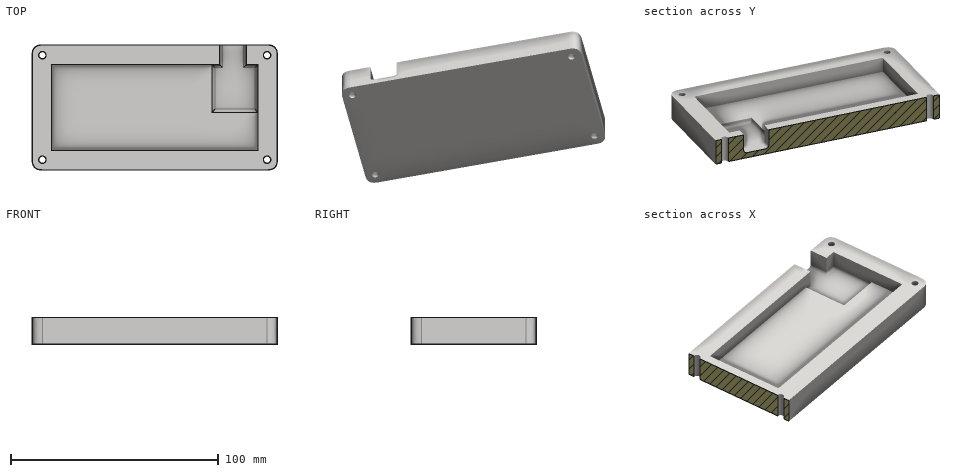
import cadquery as cq

length = 118.3
width = 60.35
height = 13.0
corner_length = 5.0

hole_diameter = 3.4
hole_inset = 5.0

pocket_length = 99.6
pocket_width = 41.3
pocket_depth = 7.5

recess_length = 22.2
recess_width = 23.0
recess_depth = 10.0
channel_width = 13.0
channel_inset = 5.6
recess_fillet = 1.5

pocket_right = pocket_length / 2
pocket_back = pocket_width / 2
body_right = length / 2
body_back = width / 2


def make_body():
    """Slab whose corners are parabolas, tangent to both sides corner_length from the sharp corner."""
    straight_x = body_right - corner_length
    straight_y = body_back - corner_length
    corners = [
        [(straight_x, body_back), (body_right, body_back), (body_right, straight_y)],
        [(body_right, -straight_y), (body_right, -body_back), (straight_x, -body_back)],
        [(-straight_x, -body_back), (-body_right, -body_back), (-body_right, -straight_y)],
        [(-body_right, straight_y), (-body_right, body_back), (-straight_x, body_back)],
    ]
    outline = cq.Workplane("XY").moveTo(-straight_x, body_back)
    for corner in corners:
        outline = outline.lineTo(*corner[0]).bezier(corner)
    return outline.wire().extrude(height)


def make_pocket():
    pocket = cq.Workplane("XY").workplane(offset=height - pocket_depth)
    return pocket.rect(pocket_length, pocket_width).extrude(pocket_depth)


def make_recess():
    """Recess and channel as one stepped volume, rounded along its floor."""
    recess_left = pocket_right - recess_length
    recess_front = pocket_back - recess_width
    channel_right = pocket_right - channel_inset
    channel_left = channel_right - channel_width
    channel_end = body_back + 2 * recess_fillet
    outline = [
        (recess_left, recess_front),
        (pocket_right, recess_front),
        (pocket_right, pocket_back),
        (channel_right, pocket_back),
        (channel_right, channel_end),
        (channel_left, channel_end),
        (channel_left, pocket_back),
        (recess_left, pocket_back),
    ]
    recess = cq.Workplane("XY").workplane(offset=height - recess_depth)
    recess = recess.polyline(outline).close().extrude(recess_depth)
    recess = recess.faces("<Z").edges().fillet(recess_fillet)
    return recess


def make_screw_holes():
    hole_spacing_x = length - 2 * hole_inset
    hole_spacing_y = width - 2 * hole_inset
    holes = cq.Workplane("XY").rect(hole_spacing_x, hole_spacing_y, forConstruction=True).vertices()
    return holes.circle(hole_diameter / 2).extrude(height)


result = make_body().cut(make_pocket()).cut(make_recess()).cut(make_screw_holes())